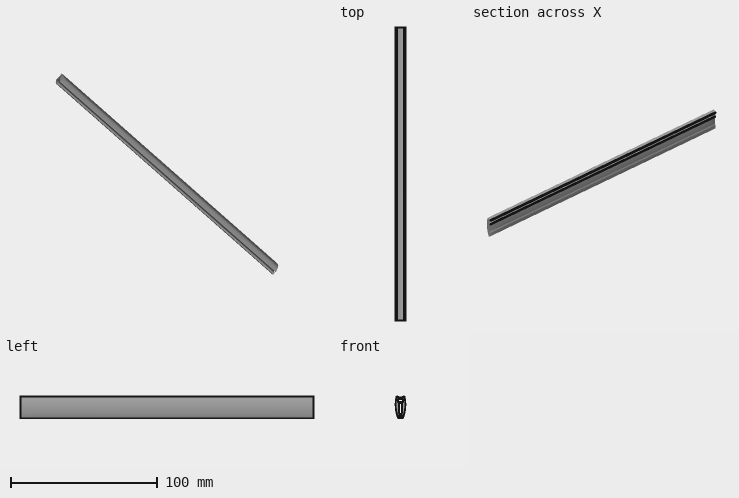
import cadquery as cq
import math

length = 200.0
width = 6.88
height = 15.0

ear_tip_half_width = 2.15
ear_side_half_width = 2.85
ear_round_drop = 0.5
foot_half_width = 1.5
crown_depth = 0.5

channel_width = 3.1
channel_bottom = 3.8
channel_top = 5.7

slot_width = 2.0
slot_top = 2.7
shoulder_top = -3.5
shoulder_bottom = -4.3
neck_width = 1.1
foot_round = 0.5

top = height / 2
bottom = -height / 2

ear_base_level = top - ear_round_drop

ear_inset = width / 2 - ear_side_half_width
foot_inset = width / 2 - foot_half_width
inset_ratio = math.sqrt(foot_inset / ear_inset)
widest_level = bottom + (ear_base_level - bottom) * inset_ratio / (1 + inset_ratio)


def extrude_along_strip(profile):
    return profile.extrude(length / 2, both=True)


def make_body():
    crown_radius = (ear_tip_half_width**2 + crown_depth**2) / (2 * crown_depth)
    crown_center = top - crown_depth + crown_radius
    right_half = (
        cq.Workplane("XZ")
        .moveTo(0, bottom)
        .lineTo(foot_half_width, bottom)
        .threePointArc((width / 2, widest_level), (ear_side_half_width, ear_base_level))
        .tangentArcPoint((ear_tip_half_width, top), relative=False)
        .lineTo(0, top)
        .close()
    )
    right_body = extrude_along_strip(right_half)
    body = right_body.union(right_body.mirror("YZ"))
    crown = extrude_along_strip(cq.Workplane("XZ").center(0, crown_center).circle(crown_radius))
    return body.cut(crown)


def make_channel():
    channel_height = channel_top - channel_bottom
    channel_middle = (channel_top + channel_bottom) / 2
    profile = cq.Workplane("XZ").center(0, channel_middle).rect(channel_width, channel_height)
    return extrude_along_strip(profile)


def make_slot():
    profile = (
        cq.Workplane("XZ")
        .moveTo(-neck_width / 2 - foot_round, bottom)
        .radiusArc((-neck_width / 2, bottom + foot_round), -foot_round)
        .lineTo(-neck_width / 2, shoulder_bottom)
        .lineTo(-slot_width / 2, shoulder_top)
        .lineTo(-slot_width / 2, slot_top)
        .lineTo(slot_width / 2, slot_top)
        .lineTo(slot_width / 2, shoulder_top)
        .lineTo(neck_width / 2, shoulder_bottom)
        .lineTo(neck_width / 2, bottom + foot_round)
        .radiusArc((neck_width / 2 + foot_round, bottom), -foot_round)
        .close()
    )
    return extrude_along_strip(profile)


result = make_body().cut(make_channel()).cut(make_slot())